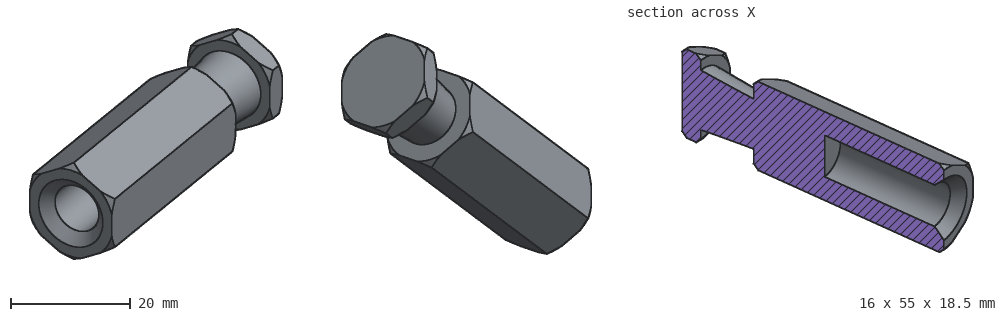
import cadquery as cq
import math

total_length = 55.0
body_length = 40.0
head_length = 4.0
neck_length = total_length - body_length - head_length

across_flats = 16.0
across_corners = across_flats / math.cos(math.pi / 6)
corner_chamfer = 1.0

neck_diameter_at_body = 10.5
neck_diameter_at_head = 12.5

bore_diameter = 8.5
bore_depth = 25.0
countersink_diameter = 12.5
countersink_depth = (countersink_diameter - bore_diameter) / 2

body_start = -total_length / 2
neck_start = body_start + body_length
head_start = neck_start + neck_length


def revolve_about_y(profile):
    """Turn a closed outline of (radius, y) points around the Y axis."""
    return cq.Workplane("XY").polyline(profile).close().revolve(360, (0, 0), (0, 1))


def chamfered_hexagon(start, length):
    """Hexagonal bar along +Y with its corners turned off conically at both ends."""
    end = start + length
    corner_radius = across_corners / 2
    end_radius = corner_radius - corner_chamfer
    hexagon = (
        cq.Workplane("XZ", origin=(0, start, 0))
        .transformed(rotate=(0, 0, 90))
        .polygon(6, across_corners)
        .extrude(-length)
    )
    envelope = revolve_about_y([
        (0, start),
        (end_radius, start),
        (corner_radius, start + corner_chamfer),
        (corner_radius, end - corner_chamfer),
        (end_radius, end),
        (0, end),
    ])
    return hexagon.intersect(envelope)


body = chamfered_hexagon(body_start, body_length)
head = chamfered_hexagon(head_start, head_length)

neck = revolve_about_y([
    (0, neck_start),
    (neck_diameter_at_body / 2, neck_start),
    (neck_diameter_at_head / 2, head_start),
    (0, head_start),
])

bore = revolve_about_y([
    (0, body_start),
    (countersink_diameter / 2, body_start),
    (bore_diameter / 2, body_start + countersink_depth),
    (bore_diameter / 2, body_start + bore_depth),
    (0, body_start + bore_depth),
])

result = body.union(neck).union(head).cut(bore)